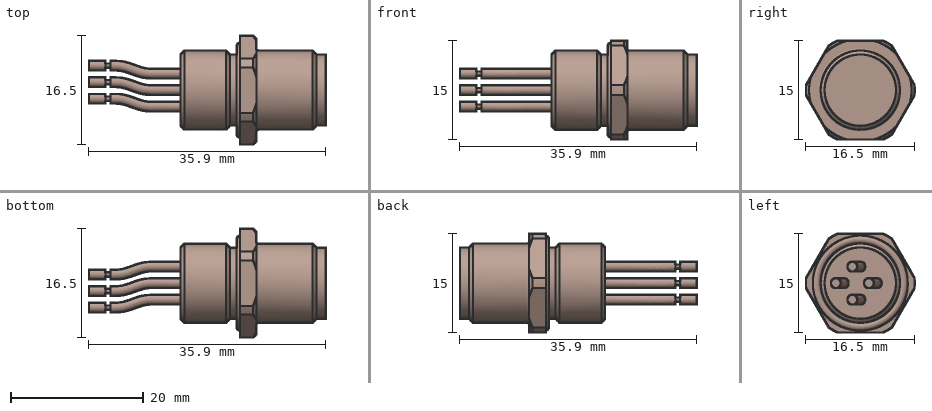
import cadquery as cq
import math

rear_body_length = 9.0
front_length = 13.0
hex_thickness = 2.5

body_radius = 12.0 / 2
relief_radius = 10.8 / 2
body_chamfer = body_radius - relief_radius
rear_relief_width = 1.5
front_land_width = 1.4
rear_root_fillet = 0.2
front_root_fillet = 0.3

hex_across_flats = 15.0
hex_corner_radius = 16.5 / 2
hex_chamfer = 0.5

seal_section_radius = 1.2 / 2
seal_outer_radius = 7.2
seal_protrusion = 0.5

wire_radius = 1.5 / 2
strand_radius = 0.7 / 2
wire_circle_radius = 2.5
wire_count = 4
wire_offset_y = 1.2
straight_length = 4.4
bend_length = 5.4
insulation_end_length = 0.8
bare_strand_length = 0.75
tip_sleeve_length = 2.5


def make_housing():
    """Housing turned about X: rear body, seal relief, front body and end land."""
    rear_x = -rear_body_length
    land_x = front_length - front_land_width
    return (
        cq.Workplane("XY")
        .moveTo(rear_x, 0)
        .lineTo(rear_x, relief_radius)
        .lineTo(rear_x + body_chamfer, body_radius)
        .lineTo(-rear_relief_width - body_chamfer, body_radius)
        .lineTo(-rear_relief_width, relief_radius)
        .lineTo(-rear_root_fillet, relief_radius)
        .tangentArcPoint((0, relief_radius + rear_root_fillet), relative=False)
        .lineTo(hex_thickness, body_radius + front_root_fillet)
        .radiusArc((hex_thickness + front_root_fillet, body_radius), -front_root_fillet)
        .lineTo(land_x - body_chamfer, body_radius)
        .lineTo(land_x, relief_radius)
        .lineTo(front_length, relief_radius)
        .lineTo(front_length, 0)
        .close()
        .revolve(360, (0, 0, 0), (1, 0, 0))
    )


def make_hexagon():
    """Hexagon with flats facing +Z and -Z, rounded corners and a chamfered front."""
    across_corners = hex_across_flats / math.cos(math.pi / 6)
    prism = cq.Workplane("YZ").polygon(6, across_corners).extrude(hex_thickness)
    envelope = (
        cq.Workplane("YZ")
        .circle(hex_corner_radius)
        .extrude(hex_thickness)
        .faces(">X")
        .chamfer(hex_chamfer)
    )
    return prism.intersect(envelope)


def make_seal():
    """Round-section ring that stands proud of the rear face of the hexagon."""
    ring_radius = seal_outer_radius - seal_section_radius
    ring_x = seal_section_radius - seal_protrusion
    ring = cq.Solid.makeTorus(
        ring_radius, seal_section_radius, cq.Vector(ring_x, 0, 0), cq.Vector(1, 0, 0)
    )
    return cq.Workplane(obj=ring)


def make_rod(start_x, length, y, z, radius):
    """Cylinder running from start_x toward -X."""
    return cq.Workplane("YZ", origin=(start_x, y, z)).circle(radius).extrude(-length)


def make_wire(y, z):
    """Insulated wire with an S-bend toward +Y, a bare strand and a tip sleeve."""
    bend_x = -rear_body_length - straight_length
    end_x = bend_x - bend_length
    strand_x = end_x - insulation_end_length
    sleeve_x = strand_x - bare_strand_length
    end_y = y + wire_offset_y

    bend_path = cq.Workplane("XY").spline(
        [(bend_x, y, z), (end_x, end_y, z)],
        tangents=[(-1, 0, 0), (-1, 0, 0)],
    )
    bend = cq.Workplane("YZ", origin=(bend_x, y, z)).circle(wire_radius).sweep(bend_path)

    return (
        make_rod(-rear_body_length, straight_length, y, z, wire_radius)
        .union(bend)
        .union(make_rod(end_x, insulation_end_length, end_y, z, wire_radius))
        .union(make_rod(strand_x, bare_strand_length, end_y, z, strand_radius))
        .union(make_rod(sleeve_x, tip_sleeve_length, end_y, z, wire_radius))
    )


result = make_housing().union(make_hexagon()).union(make_seal())
for index in range(wire_count):
    angle = 2 * math.pi * index / wire_count
    wire_y = wire_circle_radius * math.cos(angle)
    wire_z = wire_circle_radius * math.sin(angle)
    result = result.union(make_wire(wire_y, wire_z))